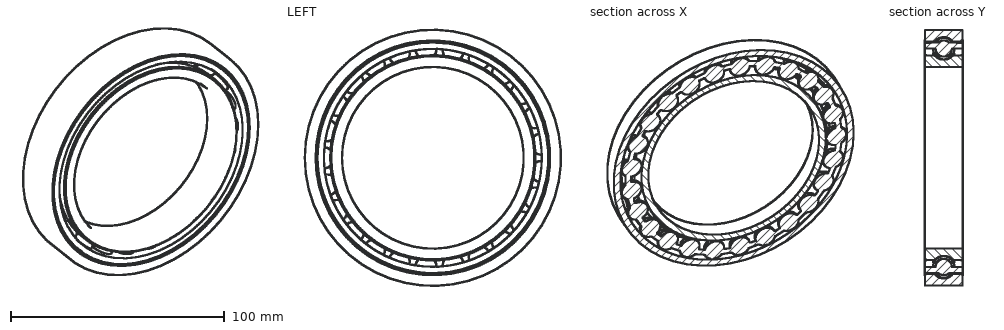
import cadquery as cq


outside_diameter = 120.0
bore_diameter = 85.0
width = 18.0

outer_ring_bore_radius = 54.4
inner_ring_land_radius = 48.1
seat_fillet = 0.6
land_chamfer = 0.6

ball_count = 25
ball_radius = 5.0
raceway_clearance = 0.1

cage_outer_radius = 54.0
cage_inner_radius = 51.0
cage_width = width

outside_radius = outside_diameter / 2
bore_radius = bore_diameter / 2
pitch_radius = (outside_radius + bore_radius) / 2
raceway_radius = ball_radius + raceway_clearance
ball_pitch_angle = 360 / ball_count

AXIS_START = (0, 0, 0)
AXIS_END = (1, 0, 0)

SMALLEST_CIRCLES = cq.selectors.RadiusNthSelector(0)
LARGEST_CIRCLES = cq.selectors.RadiusNthSelector(-1)


def plain_ring(outer_radius, inner_radius, ring_width):
    """Rectangular-section ring about the X axis, centred on X = 0."""
    return (
        cq.Workplane("YZ", origin=(-ring_width / 2, 0, 0))
        .circle(outer_radius)
        .circle(inner_radius)
        .extrude(ring_width)
    )


def raceway():
    """Torus about the X axis, a little larger than the path swept by the balls."""
    return (
        cq.Workplane("XY")
        .center(0, pitch_radius)
        .circle(raceway_radius)
        .revolve(360, (0, -pitch_radius), (1, -pitch_radius))
    )


def outer_bearing_ring():
    """Outer ring: rounded outside rims, chamfered bore rims, raceway in the bore."""
    blank = plain_ring(outside_radius, outer_ring_bore_radius, width)
    chamfered = blank.edges(SMALLEST_CIRCLES).chamfer(land_chamfer)
    return chamfered.edges(LARGEST_CIRCLES).fillet(seat_fillet).cut(raceway()).solids()


def inner_bearing_ring():
    """Inner ring: chamfered outside rims, rounded bore rims, raceway on the outside."""
    blank = plain_ring(inner_ring_land_radius, bore_radius, width)
    chamfered = blank.edges(LARGEST_CIRCLES).chamfer(land_chamfer)
    return chamfered.edges(SMALLEST_CIRCLES).fillet(seat_fillet).cut(raceway()).solids()


def ball(index):
    """Ball number index, counted from +Y around the X axis."""
    first_ball = cq.Workplane("XZ").sphere(ball_radius).translate((0, pitch_radius, 0))
    return first_ball.rotate(AXIS_START, AXIS_END, index * ball_pitch_angle)


def ball_cage():
    """Cage ring joined with its balls into one solid."""
    cage = plain_ring(cage_outer_radius, cage_inner_radius, cage_width)
    for index in range(ball_count):
        cage = cage.union(ball(index))
    return cage.solids()


outer_ring = outer_bearing_ring()
inner_ring = inner_bearing_ring()
cage_with_balls = ball_cage()

result = cq.Compound.makeCompound([outer_ring.val(), inner_ring.val(), cage_with_balls.val()])